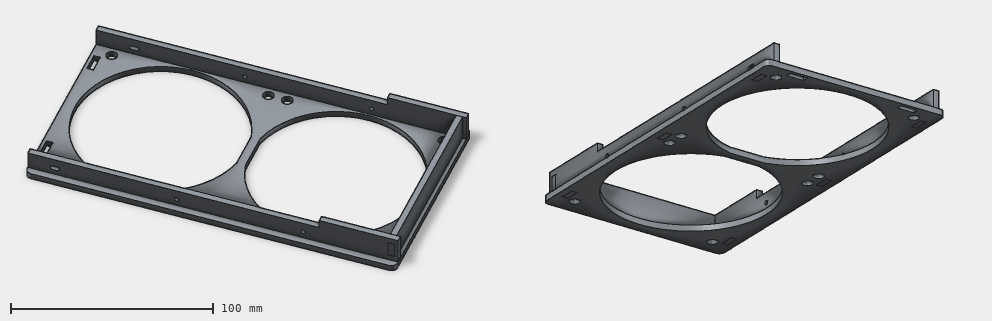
import cadquery as cq

length = 195.0
width = 106.5
height = 17.5
sheet = 3.3
corner_radius = 3.1

flange_width = 3.9
end_margin = 2.0
rail_low_top = 12.9
raised_length = 41.5
tab_length = 8.0
rail_tab_pitch = 82.3
rail_tab_count = 3

fan_pitch = 92.5
fan_diameter = 90.0
bridge_width = 4.7
screw_spacing = 82.5
screw_diameter = 5.7

base_slot_length = 9.8
base_slot_pitch = 66.1

rail_hole_height = 7.2
rail_hole_diameter = 2.3
rail_hole_positions = [78.4, 145.0]
rail_slot_length = 5.0
front_slot_position = 14.2
back_slot_position = 20.0

open_end = -length / 2
closed_end = length / 2
rail_outer_y = width / 2 - flange_width
rail_inner_y = rail_outer_y - sheet
rail_center_y = rail_outer_y - sheet / 2
wall_center_x = closed_end - end_margin - sheet / 2
wall_center_z = (sheet + height) / 2


def make_fan_opening(side):
    """Round opening cut off flat along the central web; side is -1 or 1 along X."""
    disc = cq.Workplane("XY").center(side * fan_pitch / 2, 0).circle(fan_diameter / 2).extrude(sheet)
    web = cq.Workplane("XY").box(bridge_width, width, sheet, centered=(True, True, False))
    return disc.cut(web)


def make_rail_tabs(center_y):
    """Row of blocks that fill the slots in the base under one rail."""
    return (
        cq.Workplane("XY")
        .center(0, center_y)
        .rarray(rail_tab_pitch, 2, rail_tab_count, 1)
        .rect(tab_length, sheet)
        .extrude(sheet)
    )


def make_base():
    """Flat plate with fan openings, screw holes, rail-tab slots and two slots near the open end."""
    base = cq.Workplane("XY").box(length, width, sheet, centered=(True, True, False))
    base = base.edges("|Z").fillet(corner_radius)
    for side in (-1, 1):
        base = base.cut(make_fan_opening(side))
        screw_holes = (
            cq.Workplane("XY")
            .center(side * fan_pitch / 2, 0)
            .rect(screw_spacing, screw_spacing, forConstruction=True)
            .vertices()
            .circle(screw_diameter / 2)
            .extrude(sheet)
        )
        base = base.cut(screw_holes)
        base = base.cut(make_rail_tabs(side * rail_center_y))
    end_slots = (
        cq.Workplane("XY")
        .center(open_end + end_margin + sheet / 2, 0)
        .rarray(2, base_slot_pitch, 1, 2)
        .rect(sheet, base_slot_length)
        .extrude(sheet)
    )
    return base.cut(end_slots)


def make_rail(center_y, slot_position):
    """Stepped side rail with tabs below it, centred at center_y."""
    face = cq.Workplane("XZ", origin=(0, center_y - sheet / 2, 0))
    step_x = closed_end - raised_length
    rail = (
        face.moveTo(open_end, sheet)
        .lineTo(closed_end, sheet)
        .lineTo(closed_end, height)
        .lineTo(step_x, height)
        .lineTo(step_x, rail_low_top)
        .lineTo(open_end, rail_low_top)
        .close()
        .extrude(-sheet)
    )
    round_holes = (
        face.pushPoints([(open_end + x, rail_hole_height) for x in rail_hole_positions])
        .circle(rail_hole_diameter / 2)
        .extrude(-sheet)
    )
    slot = (
        face.center(open_end + slot_position, rail_hole_height)
        .slot2D(rail_slot_length, rail_hole_diameter)
        .extrude(-sheet)
    )
    tab_hole = face.center(wall_center_x, wall_center_z).rect(sheet, tab_length).extrude(-sheet)
    rail = rail.cut(round_holes).cut(slot).cut(tab_hole)
    return rail.union(make_rail_tabs(center_y))


def make_end_wall():
    """Wall between the rails; a tab at each end passes through the rail."""
    center = (wall_center_x, 0, wall_center_z)
    panel = cq.Workplane("XY", origin=center).box(sheet, 2 * rail_inner_y, height - sheet)
    side_tabs = cq.Workplane("XY", origin=center).box(sheet, 2 * rail_outer_y, tab_length)
    return panel.union(side_tabs)


base = make_base()
rails = [
    make_rail(center_y, slot_position)
    for center_y, slot_position in (
        (-rail_center_y, front_slot_position),
        (rail_center_y, back_slot_position),
    )
]
end_wall = make_end_wall()

result = cq.Compound.makeCompound([base.val(), *[rail.val() for rail in rails], end_wall.val()])